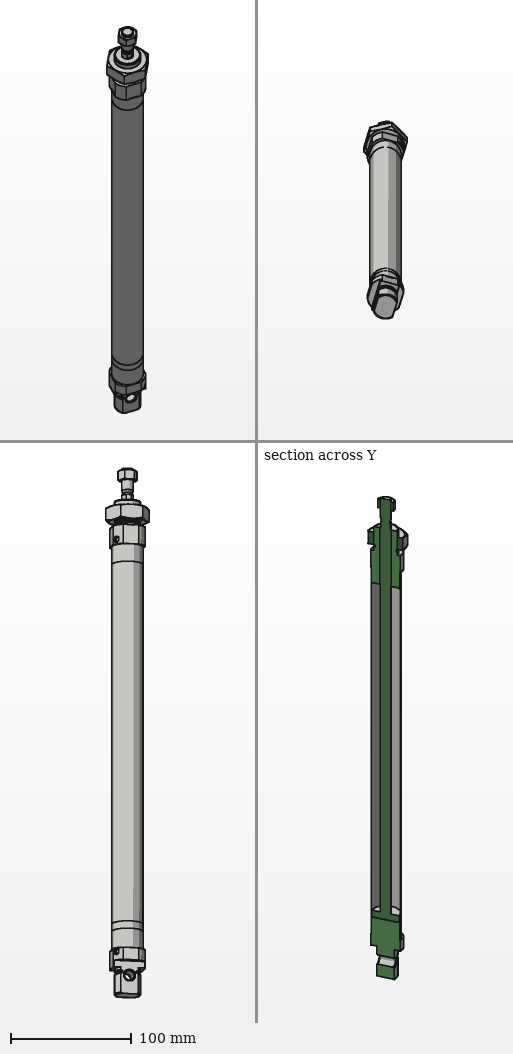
import cadquery as cq
import math

TOTAL_LENGTH = 446.5
TUBE_BOTTOM = 38.0
TUBE_TOP = 380.2
COLLAR_TOP = 418.5

TUBE_DIA = 26.5
BORE_DIA = 25.0
BORE_BOTTOM = 54.5
BORE_TOP = 365.5

CAP_DIA = 30.5
CAP_ACROSS_FLATS = 27.2
FRONT_CAP_HEIGHT = 16.0
REAR_CAP_HEIGHT = 15.5
SCREW_HOLE_DIA = 5.0
SCREW_HOLE_DEPTH = 2.5
SCREW_HOLE_ANGLE = 130.0
FRONT_SCREW_OFFSET = 4.0
REAR_SCREW_OFFSET = 3.0

THREAD_DIA = 22.0
THREAD_CHAMFER = 1.0
RELIEF_DIA = 19.5
RELIEF_WIDTH = 3.0
RELIEF_OFFSET = 2.2
LUG_THICKNESS = 16.0
LUG_FLAT_HEIGHT = 27.5
PIN_HOLE_DIA = 8.0
PIN_HOLE_Z = 15.5
PIN_HOLE_CHAMFER = 1.0

ROD_DIA = 10.0
PISTON_HEIGHT = 6.2
ROD_SHOULDER_Z = 424.0
ROD_END_CHAMFER = 0.65
NECK_DIA = 8.0
NECK_HEIGHT = 2.0
NECK_CONE_HEIGHT = 2.2
WRENCH_ACROSS_FLATS = 9.0
WRENCH_FLAT_HEIGHT = 4.5

LOCK_NUT_ACROSS_FLATS = 32.0
LOCK_NUT_BOTTOM = 401.2
LOCK_NUT_HEIGHT = 12.0
LOCK_NUT_RIM_DIA = 31.5
LOCK_NUT_CHAMFER_ANGLE = 25.0
ROD_NUT_ACROSS_FLATS = 14.5
ROD_NUT_BOTTOM = 436.5
ROD_NUT_HEIGHT = 8.0
ROD_NUT_RIM_DIA = ROD_NUT_ACROSS_FLATS
ROD_NUT_CHAMFER_ANGLE = 30.0

FRONT_CAP_TOP = TUBE_TOP + FRONT_CAP_HEIGHT
REAR_CAP_BOTTOM = TUBE_BOTTOM - REAR_CAP_HEIGHT


def cylinder(diameter, bottom, top):
    """Round bar on the Z axis between two heights."""
    return cq.Workplane("XY").workplane(offset=bottom).circle(diameter / 2).extrude(top - bottom)


def turned_about_z(profile):
    """Solid of revolution from (radius, height) points."""
    return cq.Workplane("XZ").polyline(profile).close().revolve(360, (0, 0, 0), (0, 1, 0))


def side_cutters(thickness, bottom, top):
    """Two blocks that leave only a slab of the given X thickness between two heights."""
    offset = (thickness + CAP_DIA) / 2
    return (
        cq.Workplane("XY")
        .workplane(offset=bottom)
        .pushPoints([(-offset, 0), (offset, 0)])
        .rect(CAP_DIA, 2 * CAP_DIA)
        .extrude(top - bottom)
    )


def cap_block(bottom, top):
    """Round cap with four flats facing +X, -X, +Y and -Y."""
    square = (
        cq.Workplane("XY")
        .workplane(offset=bottom)
        .rect(CAP_ACROSS_FLATS, CAP_ACROSS_FLATS)
        .extrude(top - bottom)
    )
    return cylinder(CAP_DIA, bottom, top).intersect(square)


def screw_hole(height):
    """Blind radial hole for a cushioning screw in the rounded corner of a cap."""
    angle = math.radians(SCREW_HOLE_ANGLE)
    outward = cq.Vector(math.cos(angle), math.sin(angle), 0)
    start = outward * (CAP_DIA / 2 - SCREW_HOLE_DEPTH) + cq.Vector(0, 0, height)
    return cq.Workplane(cq.Solid.makeCylinder(SCREW_HOLE_DIA / 2, CAP_DIA / 2, start, outward))


def relief_groove(bottom, top):
    """Ring with 45 degree walls, to be cut from a thread of THREAD_DIA."""
    outer = THREAD_DIA / 2
    inner = RELIEF_DIA / 2
    depth = outer - inner
    profile = [(outer, bottom), (inner, bottom + depth), (inner, top - depth), (outer, top)]
    return turned_about_z(profile)


def pin_hole():
    """Cross hole along X through the lug, chamfered at both mouths."""
    half = LUG_THICKNESS / 2
    bore = PIN_HOLE_DIA / 2
    mouth = bore + PIN_HOLE_CHAMFER
    step = half - PIN_HOLE_CHAMFER
    profile = [(-half, 0), (-half, mouth), (-step, bore), (step, bore), (half, mouth), (half, 0)]
    hole = cq.Workplane("XZ").polyline(profile).close().revolve(360, (0, 0, 0), (1, 0, 0))
    return hole.translate((0, 0, PIN_HOLE_Z))


def make_front_end():
    """Front cap with its threaded collar."""
    collar = cylinder(THREAD_DIA, FRONT_CAP_TOP, COLLAR_TOP).faces(">Z").chamfer(THREAD_CHAMFER)
    groove_bottom = FRONT_CAP_TOP + RELIEF_OFFSET
    collar = collar.cut(relief_groove(groove_bottom, groove_bottom + RELIEF_WIDTH))
    cap = cap_block(TUBE_TOP, FRONT_CAP_TOP).cut(screw_hole(TUBE_TOP + FRONT_SCREW_OFFSET))
    return cap.union(collar)


def make_rear_end():
    """Rear cap with its flat-sided lug and cross hole for a pin along X."""
    stem = cylinder(THREAD_DIA, 0, REAR_CAP_BOTTOM).faces("<Z").chamfer(THREAD_CHAMFER)
    groove_top = REAR_CAP_BOTTOM - RELIEF_OFFSET
    stem = stem.cut(relief_groove(groove_top - RELIEF_WIDTH, groove_top))
    cap = cap_block(REAR_CAP_BOTTOM, TUBE_BOTTOM).cut(screw_hole(TUBE_BOTTOM - REAR_SCREW_OFFSET))
    return cap.union(stem).cut(side_cutters(LUG_THICKNESS, 0, LUG_FLAT_HEIGHT)).cut(pin_hole())


def make_housing():
    """Tube and both end caps, bored for the piston and the rod."""
    body = cylinder(TUBE_DIA, TUBE_BOTTOM, TUBE_TOP).union(make_front_end()).union(make_rear_end())
    body = body.cut(cylinder(BORE_DIA, BORE_BOTTOM, BORE_TOP))
    return body.cut(cylinder(ROD_DIA, BORE_TOP, COLLAR_TOP))


def make_piston_rod():
    """Piston at the bottom of the bore, and a rod with wrench flats, neck and threaded end."""
    neck_top = ROD_SHOULDER_Z + NECK_HEIGHT
    thread_bottom = neck_top + NECK_CONE_HEIGHT
    rod = ROD_DIA / 2
    neck = NECK_DIA / 2
    profile = [
        (0, BORE_BOTTOM),
        (BORE_DIA / 2, BORE_BOTTOM),
        (BORE_DIA / 2, BORE_BOTTOM + PISTON_HEIGHT),
        (rod, BORE_BOTTOM + PISTON_HEIGHT),
        (rod, ROD_SHOULDER_Z),
        (neck, ROD_SHOULDER_Z),
        (neck, neck_top),
        (rod, thread_bottom),
        (rod, TOTAL_LENGTH - ROD_END_CHAMFER),
        (rod - ROD_END_CHAMFER, TOTAL_LENGTH),
        (0, TOTAL_LENGTH),
    ]
    turned = turned_about_z(profile)
    flat_bottom = ROD_SHOULDER_Z - WRENCH_FLAT_HEIGHT
    return turned.cut(side_cutters(WRENCH_ACROSS_FLATS, flat_bottom, ROD_SHOULDER_Z))


def make_nut(across_flats, bore_dia, bottom, height, rim_dia, chamfer_angle):
    """Hexagon with flats facing +X and -X and the corners of both ends chamfered."""
    across_corners = across_flats / math.cos(math.radians(30))
    hexagon = (
        cq.Workplane("XY")
        .workplane(offset=bottom)
        .transformed(rotate=(0, 0, 30))
        .polygon(6, across_corners)
        .extrude(height)
    )
    rim = rim_dia / 2
    corner = across_corners / 2
    drop = (corner - rim) * math.tan(math.radians(chamfer_angle))
    top = bottom + height
    profile = [
        (0, bottom),
        (rim, bottom),
        (corner, bottom + drop),
        (corner, top - drop),
        (rim, top),
        (0, top),
    ]
    rounded = turned_about_z(profile)
    return hexagon.intersect(rounded).cut(cylinder(bore_dia, bottom, top))


def make_lock_nut():
    """Large nut on the collar."""
    return make_nut(
        LOCK_NUT_ACROSS_FLATS,
        THREAD_DIA,
        LOCK_NUT_BOTTOM,
        LOCK_NUT_HEIGHT,
        LOCK_NUT_RIM_DIA,
        LOCK_NUT_CHAMFER_ANGLE,
    )


def make_rod_nut():
    """Small nut on the threaded rod end."""
    return make_nut(
        ROD_NUT_ACROSS_FLATS,
        ROD_DIA,
        ROD_NUT_BOTTOM,
        ROD_NUT_HEIGHT,
        ROD_NUT_RIM_DIA,
        ROD_NUT_CHAMFER_ANGLE,
    )


housing = make_housing()
piston_rod = make_piston_rod()
lock_nut = make_lock_nut()
rod_nut = make_rod_nut()

result = cq.Compound.makeCompound([housing.val(), piston_rod.val(), lock_nut.val(), rod_nut.val()])